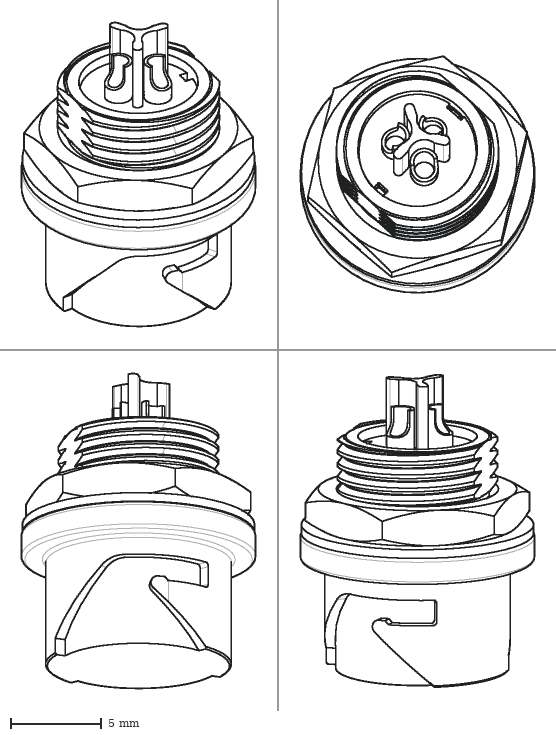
import cadquery as cq
import math

TOTAL_HEIGHT = 16.35
FLANGE_BOTTOM = 6.15
FLANGE_TOP = 7.65
GASKET_TOP = 8.15
NUT_TOP = 10.15
THREAD_TOP = 13.15
RECESS_DEPTH = 0.55
INSERT_FACE = THREAD_TOP - RECESS_DEPTH

FLANGE_DIAMETER = 13.0
FLANGE_FILLET = 0.2
SLEEVE_RADIUS = 5.15
SLEEVE_CHAMFER = 0.1
TRACK_FLOOR_RADIUS = 4.55

TRACK_COUNT = 2
TRACK_WALL_START = -7.39
TRACK_WALL_HEIGHT = 0.93
TRACK_RAMP_END = -3.25
TRACK_LOCK_END = 2.7
TRACK_LOCK_TOP = 4.97
TRACK_LOCK_BOTTOM = 3.53
DETENT_HEIGHT = 0.21
TOOTH_NOSE = -1.64
TOOTH_FOOT = 2.6
RAMP_ROUND = 1.8
LOCK_ROUND = 0.21
NOSE_ROUND = 0.4
WRAP_POINTS = 12
CUT_MARGIN = 0.33

THREAD_RADIUS = 4.5
THREAD_ROOT_RADIUS = 4.07
THREAD_PITCH = 0.75
THREAD_ROOT_FLAT = 0.05
THREAD_FLANK_ANGLE = 30.0
THREAD_GROOVE_HEIGHT = 12.57
THREAD_CUT_MARGIN = 0.08
THREAD_FLAT_DISTANCE = 3.99
SHANK_RADIUS = THREAD_FLAT_DISTANCE
TOP_GROOVE_INNER = 3.97
TOP_GROOVE_OUTER = 4.09

GASKET_RADIUS = 6.45
NUT_SIDES = 6
NUT_ACROSS_FLATS = 11.0
NUT_CHAMFER_ANGLE = 30.0

BORE_RADIUS = 3.3
INSERT_RADIUS = 3.25
SLOT_DEPTH = 0.65
ROUND_KEY_SLOT_WIDTH = 0.69
ROUND_KEY_SLOT_INNER = 2.78
ROUND_KEY_RADIUS = 0.31
ROUND_KEY_INNER = 2.9
FLAT_KEY_SLOT_WIDTH = 1.08
FLAT_KEY_SLOT_INNER = 2.95
FLAT_KEY_OUTER = 3.14
FLAT_KEY_TOP_WIDTH = 0.54
FLAT_KEY_BASE_WIDTH = 0.98
FLAT_KEY_HEIGHT = 0.33

CUP_COUNT = 3
CUP_CIRCLE_RADIUS = 1.26
CUP_RADIUS = 0.77
CUP_HOLE_RADIUS = 0.57
CUP_TOP = 14.9
CUP_LIP = 13.4
FIRST_CUP_ANGLE = -90.0

SPIDER_CLEARANCE_RADIUS = 0.9
SPIDER_HUB_RADIUS = 0.9
SPIDER_ARM_WIDTH = 0.55
SPIDER_ARM_REACH = 1.81


def cylinder(radius, bottom, top):
    return cq.Workplane("XY").workplane(offset=bottom).circle(radius).extrude(top - bottom)


def block(x_min, x_max, y_min, y_max, z_min, z_max):
    size = (x_max - x_min, y_max - y_min, z_max - z_min)
    return cq.Workplane("XY").box(*size, centered=False).translate((x_min, y_min, z_min))


def around_axis(shape, count, first_angle=0.0):
    """Copies of a shape spread evenly about the Z axis, joined into one."""
    copies = cq.Workplane("XY")
    for i in range(count):
        copies = copies.add(shape.rotate((0, 0, 0), (0, 0, 1), first_angle + 360.0 * i / count))
    return copies.combine()



def track_outline():
    """Closed outline of one bayonet track, laid out flat."""
    nose_top = TRACK_LOCK_BOTTOM + DETENT_HEIGHT
    tooth_slope = nose_top / (TOOTH_FOOT - TOOTH_NOSE)
    corners = [
        (TRACK_WALL_START, -CUT_MARGIN),
        (TRACK_WALL_START, TRACK_WALL_HEIGHT),
        (TRACK_RAMP_END, TRACK_LOCK_TOP),
        (TRACK_LOCK_END, TRACK_LOCK_TOP),
        (TRACK_LOCK_END, TRACK_LOCK_BOTTOM),
        (0, TRACK_LOCK_BOTTOM),
        (-DETENT_HEIGHT, nose_top),
        (TOOTH_NOSE, nose_top),
        (TOOTH_FOOT + CUT_MARGIN / tooth_slope, -CUT_MARGIN),
    ]
    rounds = {2: RAMP_ROUND, 3: LOCK_ROUND, 4: LOCK_ROUND, 7: NOSE_ROUND}
    outline = cq.Wire.makePolygon([cq.Vector(*corner) for corner in corners], close=True)
    for index, radius in rounds.items():
        spot = cq.Vector(*corners[index])
        corner = min(outline.Vertices(), key=lambda vertex: (vertex.Center() - spot).Length)
        outline = outline.fillet2D(radius, [corner])
    return outline


def wrap(edge, radius):
    """A flat edge rolled onto a cylinder, with length zero on the -X side."""
    points = []
    for i in range(WRAP_POINTS + 1):
        flat = edge.positionAt(i / WRAP_POINTS)
        angle = math.pi + flat.x / SLEEVE_RADIUS
        points.append(cq.Vector(radius * math.cos(angle), radius * math.sin(angle), flat.y))
    return cq.Edge.makeSpline(points)


def track_wall():
    """The radial side wall of one bayonet track, as a sheet around its outline."""
    inner = TRACK_FLOOR_RADIUS - CUT_MARGIN
    outer = SLEEVE_RADIUS + CUT_MARGIN
    strips = [
        cq.Face.makeRuledSurface(wrap(edge, inner), wrap(edge, outer))
        for edge in track_outline().Edges()
    ]
    return cq.Shell.makeShell(strips)


def bayonet_sleeve():
    """Sleeve below the flange, solid inside, with the bayonet tracks cut into its surface."""
    tube = cylinder(SLEEVE_RADIUS, 0, FLANGE_BOTTOM).faces("<Z").edges().chamfer(SLEEVE_CHAMFER)
    tube = tube.cut(cylinder(TRACK_FLOOR_RADIUS, 0, FLANGE_BOTTOM))
    wall = track_wall()
    walls = [
        wall.rotate(cq.Vector(0, 0, 0), cq.Vector(0, 0, 1), 360.0 * i / TRACK_COUNT)
        for i in range(TRACK_COUNT)
    ]
    pieces = tube.val().split(*walls).Solids()
    sleeve = max(pieces, key=lambda piece: piece.Volume())
    return cylinder(TRACK_FLOOR_RADIUS, 0, FLANGE_BOTTOM).union(cq.Workplane(sleeve))



def flange():
    """Flange disc with rounded rims and a fillet down to the sleeve."""
    disc = cylinder(FLANGE_DIAMETER / 2, FLANGE_BOTTOM, FLANGE_TOP).edges().fillet(FLANGE_FILLET)
    root = SLEEVE_RADIUS + FLANGE_FILLET
    low = FLANGE_BOTTOM - FLANGE_FILLET
    bend = FLANGE_FILLET * math.sqrt(0.5)
    neck = (
        cq.Workplane("XZ")
        .moveTo(0, low)
        .lineTo(SLEEVE_RADIUS, low)
        .threePointArc((root - bend, low + bend), (root, FLANGE_BOTTOM))
        .lineTo(0, FLANGE_BOTTOM)
        .close()
        .revolve(360, (0, 0, 0), (0, 1, 0))
    )
    return disc.union(neck)


def threaded_rod():
    """Rod above the nut, with a right-handed thread over its whole length."""
    reach = THREAD_RADIUS + THREAD_CUT_MARGIN
    root_half = THREAD_ROOT_FLAT / 2
    open_half = root_half + (reach - THREAD_ROOT_RADIUS) * math.tan(math.radians(THREAD_FLANK_ANGLE))
    turns_below = math.ceil((THREAD_GROOVE_HEIGHT - NUT_TOP) / THREAD_PITCH) + 1
    turns_above = math.ceil((THREAD_TOP - THREAD_GROOVE_HEIGHT) / THREAD_PITCH)
    path = cq.Workplane(cq.Wire.makeHelix(THREAD_PITCH, THREAD_PITCH, THREAD_ROOT_RADIUS))
    groove_turn = (
        cq.Workplane("XZ")
        .moveTo(THREAD_ROOT_RADIUS, -root_half)
        .lineTo(reach, -open_half)
        .lineTo(reach, open_half)
        .lineTo(THREAD_ROOT_RADIUS, root_half)
        .close()
        .sweep(path, isFrenet=True)
    )
    rod = cylinder(THREAD_RADIUS, NUT_TOP, THREAD_TOP)
    for turn in range(-turns_below, turns_above + 1):
        rod = rod.cut(groove_turn.translate((0, 0, THREAD_GROOVE_HEIGHT + turn * THREAD_PITCH)))
    return rod


def top_groove():
    """Shallow groove in the top face, sloping outwards and down at 45 degrees."""
    depth = TOP_GROOVE_OUTER - TOP_GROOVE_INNER
    return (
        cq.Workplane("XZ")
        .moveTo(TOP_GROOVE_INNER, THREAD_TOP)
        .lineTo(TOP_GROOVE_OUTER, THREAD_TOP)
        .lineTo(TOP_GROOVE_OUTER, THREAD_TOP - depth)
        .close()
        .revolve(360, (0, 0, 0), (0, 1, 0))
    )


def threaded_neck():
    """Threaded rod with a flat on its -Y and +Y sides, standing on the plain shank."""
    between_flats = block(
        -THREAD_RADIUS, THREAD_RADIUS, -THREAD_FLAT_DISTANCE, THREAD_FLAT_DISTANCE, NUT_TOP, THREAD_TOP
    )
    neck = threaded_rod().intersect(between_flats).cut(top_groove())
    return neck.union(cylinder(SHANK_RADIUS, FLANGE_TOP, NUT_TOP))



def insert_recess():
    """Bore above the insert, the narrow gap around the insert, and its two key slots."""
    slot_floor = INSERT_FACE - SLOT_DEPTH
    gap = cylinder(BORE_RADIUS, slot_floor, THREAD_TOP).cut(cylinder(INSERT_RADIUS, slot_floor, INSERT_FACE))

    half = ROUND_KEY_SLOT_WIDTH / 2
    round_slot = block(-half, half, ROUND_KEY_SLOT_INNER, BORE_RADIUS, slot_floor, INSERT_FACE)
    round_key = (
        cq.Workplane("XZ", origin=(0, ROUND_KEY_INNER, slot_floor))
        .circle(ROUND_KEY_RADIUS)
        .extrude(-(BORE_RADIUS - ROUND_KEY_INNER))
    )

    half = FLAT_KEY_SLOT_WIDTH / 2
    flat_slot = block(-half, half, -INSERT_RADIUS, -FLAT_KEY_SLOT_INNER, slot_floor, INSERT_FACE)
    key_top = slot_floor + FLAT_KEY_HEIGHT
    flat_key = (
        cq.Workplane("XZ", origin=(0, -FLAT_KEY_SLOT_INNER, 0))
        .moveTo(-FLAT_KEY_BASE_WIDTH / 2, slot_floor)
        .lineTo(FLAT_KEY_BASE_WIDTH / 2, slot_floor)
        .lineTo(FLAT_KEY_TOP_WIDTH / 2, key_top)
        .lineTo(-FLAT_KEY_TOP_WIDTH / 2, key_top)
        .close()
        .extrude(FLAT_KEY_OUTER - FLAT_KEY_SLOT_INNER)
    )
    slots = round_slot.cut(round_key).union(flat_slot.cut(flat_key))
    inside = cylinder(BORE_RADIUS, slot_floor, THREAD_TOP)
    return gap.union(slots.intersect(inside))


def solder_cup():
    """One solder cup on the +X side, open outwards above its lip."""
    outer_edge = CUP_CIRCLE_RADIUS + CUP_RADIUS
    bend = CUP_RADIUS * math.sqrt(0.5)
    arc_height = CUP_LIP + CUP_RADIUS
    opening = (
        cq.Workplane("XZ", origin=(0, CUP_RADIUS, 0))
        .moveTo(CUP_CIRCLE_RADIUS, CUP_TOP)
        .lineTo(CUP_CIRCLE_RADIUS, arc_height)
        .threePointArc((outer_edge - bend, arc_height - bend), (outer_edge, CUP_LIP))
        .lineTo(outer_edge, CUP_TOP)
        .close()
        .extrude(2 * CUP_RADIUS)
    )
    cup = cylinder(CUP_RADIUS, INSERT_FACE, CUP_TOP).cut(cylinder(CUP_HOLE_RADIUS, INSERT_FACE, CUP_TOP))
    return cup.translate((CUP_CIRCLE_RADIUS, 0, 0)).cut(opening)


def spider():
    """Three-armed insulator that stands between the solder cups."""
    height = TOTAL_HEIGHT - INSERT_FACE
    half = SPIDER_ARM_WIDTH / 2
    base = cq.Workplane("XY").workplane(offset=INSERT_FACE)
    star = base.circle(SPIDER_HUB_RADIUS).extrude(height)
    tip_centre = SPIDER_ARM_REACH - half
    arm = (
        base.moveTo(0, -half)
        .lineTo(tip_centre, -half)
        .threePointArc((SPIDER_ARM_REACH, 0), (tip_centre, half))
        .lineTo(0, half)
        .close()
        .extrude(height)
    )
    star = star.union(around_axis(arm, CUP_COUNT, FIRST_CUP_ANGLE + 180.0 / CUP_COUNT))
    clearance = cylinder(SPIDER_CLEARANCE_RADIUS, INSERT_FACE, TOTAL_HEIGHT)
    clearance = clearance.translate((CUP_CIRCLE_RADIUS, 0, 0))
    return star.cut(around_axis(clearance, CUP_COUNT, FIRST_CUP_ANGLE))



def make_housing():
    """Connector housing with its insert, solder cups and insulating spider in one piece."""
    shell = bayonet_sleeve().union(flange()).union(threaded_neck()).cut(insert_recess())
    cups = around_axis(solder_cup(), CUP_COUNT, FIRST_CUP_ANGLE)
    return shell.union(cups).union(spider())


def make_gasket():
    """Flat ring between the flange and the nut."""
    return cylinder(GASKET_RADIUS, FLANGE_TOP, GASKET_TOP).cut(cylinder(SHANK_RADIUS, FLANGE_TOP, GASKET_TOP))


def make_nut():
    """Hex nut with chamfered corners at both ends and a countersunk bore."""
    flat_radius = NUT_ACROSS_FLATS / 2
    corner_radius = flat_radius / math.cos(math.pi / NUT_SIDES)
    slope = math.tan(math.radians(NUT_CHAMFER_ANGLE))
    corner_cut = corner_radius - flat_radius
    hexagon = cq.Workplane("XY").workplane(offset=GASKET_TOP).polygon(NUT_SIDES, 2 * corner_radius)
    hexagon = hexagon.extrude(NUT_TOP - GASKET_TOP)
    envelope = cylinder(corner_radius, GASKET_TOP, NUT_TOP).edges().chamfer(slope * corner_cut, corner_cut)
    bore = cylinder(SHANK_RADIUS, GASKET_TOP, NUT_TOP)
    sink_floor = NUT_TOP - slope * (THREAD_RADIUS - SHANK_RADIUS)
    countersink = (
        cq.Workplane("XZ")
        .moveTo(0, NUT_TOP)
        .lineTo(THREAD_RADIUS, NUT_TOP)
        .lineTo(SHANK_RADIUS, sink_floor)
        .lineTo(0, sink_floor)
        .close()
        .revolve(360, (0, 0, 0), (0, 1, 0))
    )
    return hexagon.intersect(envelope).cut(bore).cut(countersink)


housing = make_housing()
gasket = make_gasket()
nut = make_nut()

result = cq.Compound.makeCompound([housing.val(), gasket.val(), nut.val()])